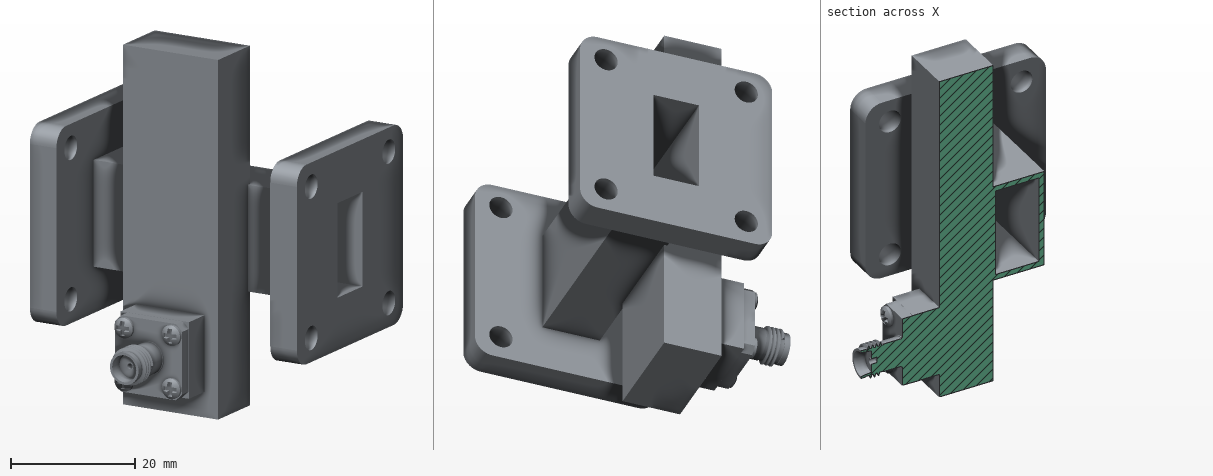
import cadquery as cq
import math


overall_length = 50.0
flange_size = 33.3
flange_thickness = 5.0
flange_corner_radius = 3.0
flange_hole_diameter = 4.0
flange_hole_pitch_y = 24.3
flange_hole_pitch_z = 25.25
bore_depth_y = 7.9
bore_height_z = 15.8
guide_wall = 1.0
guide_depth_y = bore_depth_y + 2 * guide_wall
guide_height_z = bore_height_z + 2 * guide_wall

arm_length = 60.0
arm_width = guide_height_z
arm_depth = guide_depth_y
arm_overlap = 0.55
arm_center_z = 2.0
arm_cap_thickness = 0.95
arm_back_y = -guide_depth_y / 2 + arm_overlap
arm_front_y = arm_back_y - arm_depth

connector_z = -17.35
block_size = 12.8
block_depth = 4.9
plate_width = 12.55
plate_height = 12.7
plate_thickness = 1.9
plate_chamfer = 1.15
plate_back_y = arm_front_y - block_depth
plate_front_y = plate_back_y - plate_thickness

overall_depth = 45.55
connector_tip_y = flange_size / 2 - overall_depth
barrel_diameter = 5.35
barrel_length = plate_front_y - connector_tip_y
collar_diameter = 5.65
collar_length = 0.2
socket_diameter = 4.5
socket_floor_diameter = 4.0
socket_depth = 1.9
pin_diameter = 1.25
pin_hole_diameter = 0.95
pin_length = 0.1
pin_hole_depth = 1.2

thread_diameter = 6.3
thread_root_diameter = 5.1
thread_pitch = 0.7
thread_turns = 3.5
thread_root_width = 0.6
thread_crest_width = 0.1
thread_embed = 0.1
thread_length = 3.2
thread_tip_gap = 0.95

screw_spacing = 8.9
screw_diameter = 3.4
screw_rim_height = 0.5
screw_head_height = 1.1
cross_length = 2.5
cross_width = 0.9
cross_depth = 0.7
cross_taper = 10


def box(size_x, size_y, size_z, center):
    """A plain box about the given center."""
    return cq.Workplane("XY").box(size_x, size_y, size_z).translate(center)


def facing_front(y, x=0.0, z=connector_z):
    """A workplane at depth y whose normal points along -Y."""
    return cq.Workplane("XZ", origin=(x, y, z))


def make_flange(side):
    """One square end flange with rounded corners and four bolt holes."""
    center_x = side * (overall_length - flange_thickness) / 2
    flange = box(flange_thickness, flange_size, flange_size, (center_x, 0, 0))
    flange = flange.edges("|X").fillet(flange_corner_radius)
    holes = (
        cq.Workplane("YZ", origin=(center_x - flange_thickness / 2, 0, 0))
        .rarray(flange_hole_pitch_y, flange_hole_pitch_z, 2, 2)
        .circle(flange_hole_diameter / 2)
        .extrude(flange_thickness)
    )
    return flange.cut(holes)


def make_through_guide():
    """The rectangular tube with both flanges, open from end to end."""
    guide = box(overall_length, guide_depth_y, guide_height_z, (0, 0, 0))
    for side in (-1, 1):
        guide = guide.union(make_flange(side))
    return guide


def make_arm():
    """The upright arm, closed by a cap at each end."""
    center_y = (arm_back_y + arm_front_y) / 2
    tube_length = arm_length - 2 * arm_cap_thickness
    arm = box(arm_width, arm_depth, tube_length, (0, center_y, arm_center_z))
    for side in (-1, 1):
        cap_z = arm_center_z + side * (arm_length - arm_cap_thickness) / 2
        cap = box(arm_width, arm_depth, arm_cap_thickness, (0, center_y, cap_z))
        arm = arm.union(cap, clean=False)
    return arm


def make_mount():
    """The square block and the chamfered plate in front of it."""
    block = facing_front(arm_front_y).rect(block_size, block_size).extrude(block_depth)
    plate = facing_front(plate_back_y).rect(plate_width, plate_height).extrude(plate_thickness)
    plate = plate.edges("|Y").chamfer(plate_chamfer)
    return block.union(plate)


def make_thread():
    """A helical ridge around the barrel, sunk slightly into it."""
    root_radius = thread_root_diameter / 2 - thread_embed
    crest_radius = thread_diameter / 2
    helix = cq.Wire.makeHelix(thread_pitch, thread_pitch * thread_turns, root_radius)
    ridge = (
        cq.Workplane("XZ")
        .moveTo(root_radius, -thread_root_width / 2)
        .lineTo(crest_radius, -thread_crest_width / 2)
        .lineTo(crest_radius, thread_crest_width / 2)
        .lineTo(root_radius, thread_root_width / 2)
        .close()
        .sweep(cq.Workplane(helix), isFrenet=True)
    )
    relief_center_y = connector_tip_y + thread_tip_gap + thread_length / 2
    first_turn_y = relief_center_y + thread_pitch * thread_turns / 2
    return ridge.rotate((0, 0, 0), (1, 0, 0), 90).translate((0, first_turn_y, connector_z))


def make_barrel():
    """The threaded barrel with its socket and hollow center pin."""
    collar = facing_front(plate_front_y).circle(collar_diameter / 2).extrude(collar_length)
    barrel = (
        facing_front(plate_front_y - collar_length)
        .circle(barrel_diameter / 2)
        .extrude(barrel_length - collar_length)
    )
    thread_relief = (
        facing_front(connector_tip_y + thread_tip_gap + thread_length)
        .circle(barrel_diameter / 2)
        .circle(thread_root_diameter / 2)
        .extrude(thread_length)
    )
    floor_y = connector_tip_y + socket_depth
    socket = (
        facing_front(connector_tip_y)
        .circle(socket_diameter / 2)
        .workplane(offset=-socket_depth)
        .circle(socket_floor_diameter / 2)
        .loft()
    )
    pin = facing_front(floor_y).circle(pin_diameter / 2).extrude(pin_length)
    pin_hole = (
        facing_front(floor_y - pin_length)
        .circle(pin_hole_diameter / 2)
        .extrude(-pin_hole_depth)
    )
    shell = collar.union(barrel).cut(thread_relief).union(make_thread()).cut(socket)
    return shell.union(pin).cut(pin_hole)


def make_screw(x, z):
    """A domed screw head with a tapered cross recess."""
    rim_radius = screw_diameter / 2
    dome_height = screw_head_height - screw_rim_height
    dome_radius = (rim_radius**2 + dome_height**2) / (2 * dome_height)
    mid_x = rim_radius / 2
    mid_y = screw_head_height - dome_radius + math.sqrt(dome_radius**2 - mid_x**2)
    head = (
        cq.Workplane("XY")
        .lineTo(rim_radius, 0)
        .lineTo(rim_radius, screw_rim_height)
        .threePointArc((mid_x, mid_y), (0, screw_head_height))
        .close()
        .revolve(360, (0, 0, 0), (0, 1, 0))
        .rotate((0, 0, 0), (1, 0, 0), 180)
        .translate((x, plate_front_y, z))
    )
    recess_plane = facing_front(plate_front_y - screw_head_height, x, z)
    for length, width in ((cross_length, cross_width), (cross_width, cross_length)):
        slot = recess_plane.rect(length, width).extrude(-cross_depth, taper=cross_taper)
        head = head.cut(slot)
    return head


result = make_through_guide().union(make_mount()).union(make_barrel())
for screw_x in (-screw_spacing / 2, screw_spacing / 2):
    for screw_dz in (-screw_spacing / 2, screw_spacing / 2):
        result = result.union(make_screw(screw_x, connector_z + screw_dz))
bore = box(overall_length, bore_depth_y, bore_height_z, (0, 0, 0))
result = result.cut(bore).union(make_arm(), clean=False)